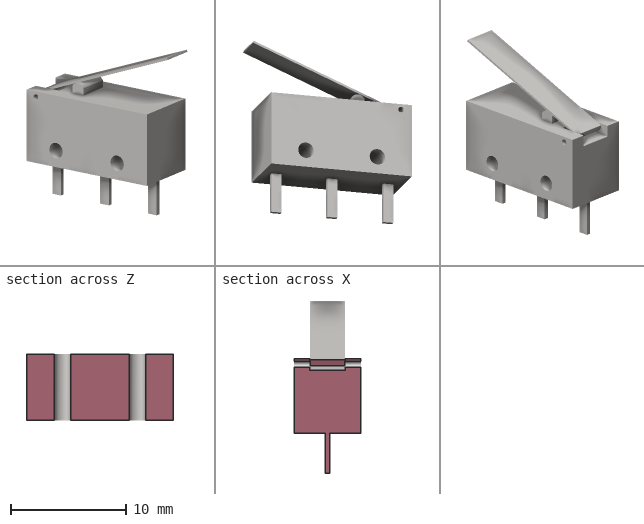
import cadquery as cq
import math


overall_height = 15.0

housing_length = 12.8
housing_width = 5.8
housing_height = 6.5
housing_middle = housing_length / 2

slot_length = 2.5
slot_depth = 1.0
slot_width = 3.0

hinge_hole_diameter = 0.5
hinge_hole_x = 1.0
hinge_hole_z = -0.5

mount_hole_diameter = 1.4
mount_hole_pitch = 6.5
mount_hole_z = 1.5 - housing_height

plunger_length = 1.2
plunger_width = 2.9
plunger_height = 1.0
plunger_x = 4.45
plunger_shoulder = 0.66

lever_thickness = 0.2
lever_width = slot_width
lever_length = 14.16
lever_angle = 21.4
lever_heel_x = 0.76
lever_heel_z = -0.16
tab_length = 0.54
lever_tip_z = lever_heel_z + lever_length * math.sin(math.radians(lever_angle))

terminal_count = 3
terminal_pitch = 5.08
terminal_length = 0.92
terminal_thickness = 0.4
terminal_drop = overall_height - housing_height - lever_tip_z


def cross_hole(x, z, diameter):
    """Cylinder along Y that spans the full housing width."""
    return (
        cq.Workplane("XZ", origin=(x, 0, z))
        .circle(diameter / 2)
        .extrude(housing_width, both=True)
    )


def make_plunger():
    half_length = plunger_length / 2
    return (
        cq.Workplane("XZ", origin=(plunger_x, 0, 0))
        .moveTo(-half_length, 0)
        .lineTo(-half_length, plunger_shoulder)
        .threePointArc((0, plunger_height), (half_length, plunger_shoulder))
        .lineTo(half_length, 0)
        .close()
        .extrude(plunger_width / 2, both=True)
    )


def make_terminal(x):
    return (
        cq.Workplane("XY", origin=(x, 0, -housing_height))
        .rect(terminal_length, terminal_thickness)
        .extrude(-terminal_drop)
    )


def make_housing():
    """Housing in one piece with its plunger and terminals."""
    body = cq.Workplane("XY").box(
        housing_length, housing_width, housing_height, centered=(False, True, False)
    ).translate((0, 0, -housing_height))
    slot = cq.Workplane("XY").box(
        slot_length, slot_width, slot_depth, centered=(False, True, False)
    ).translate((0, 0, -slot_depth))
    body = body.cut(slot)

    body = body.cut(cross_hole(hinge_hole_x, hinge_hole_z, hinge_hole_diameter))
    for side in (-1, 1):
        hole_x = housing_middle + side * mount_hole_pitch / 2
        body = body.cut(cross_hole(hole_x, mount_hole_z, mount_hole_diameter))

    body = body.union(make_plunger())
    for index in range(terminal_count):
        offset = index - (terminal_count - 1) / 2
        body = body.union(make_terminal(housing_middle + offset * terminal_pitch))
    return body.solids()


def make_lever():
    """L-shaped strip, drawn flat and then tilted about its heel."""
    profile = (
        cq.Workplane("XZ")
        .moveTo(0, 0)
        .lineTo(lever_length, 0)
        .lineTo(lever_length, -lever_thickness)
        .lineTo(lever_thickness, -lever_thickness)
        .lineTo(lever_thickness, -tab_length)
        .lineTo(0, -tab_length)
        .close()
    )
    return (
        profile.extrude(lever_width / 2, both=True)
        .rotate((0, 0, 0), (0, 1, 0), -lever_angle)
        .translate((lever_heel_x, 0, lever_heel_z))
        .solids()
    )


housing = make_housing()
lever = make_lever()

result = cq.Compound.makeCompound([housing.val(), lever.val()])